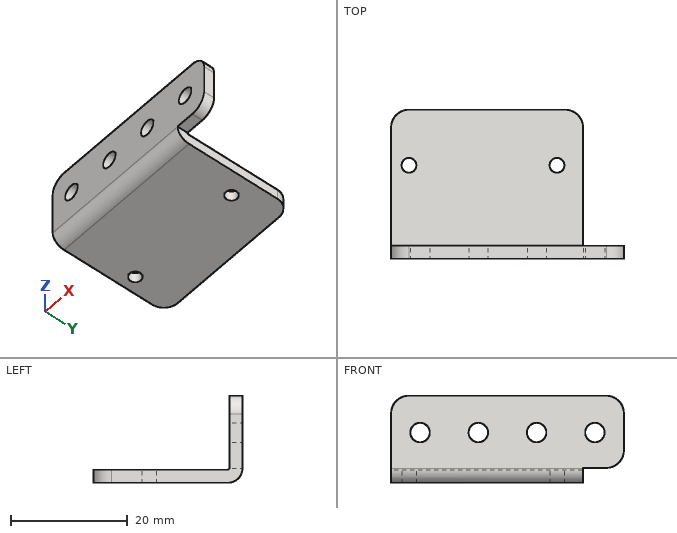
import cadquery as cq

thickness = 2.286
bend_inner_radius = 0.254
bend_outer_radius = thickness + bend_inner_radius
corner_radius = 3.1

flange_length = 40.01
base_length = 33.0
depth = 25.61
height = 14.99

flange_hole_diameter = 3.3
flange_hole_pitch = 10.0
flange_hole_count = 4
flange_hole_first_x = 5.0
flange_hole_from_top = 6.35

base_hole_diameter = 2.5
base_hole_pitch = 25.4
base_hole_count = 2
base_hole_first_x = 3.1
base_hole_y = 16.05


def make_bent_strip():
    """L-section as long as the base: underside on Z = 0, outer flange face on Y = 0."""
    return (
        cq.Workplane("YZ")
        .moveTo(0, height)
        .lineTo(0, bend_outer_radius)
        .radiusArc((bend_outer_radius, 0), -bend_outer_radius)
        .lineTo(depth, 0)
        .lineTo(depth, thickness)
        .lineTo(bend_outer_radius, thickness)
        .radiusArc((thickness, bend_outer_radius), bend_inner_radius)
        .lineTo(thickness, height)
        .close()
        .extrude(base_length)
    )


def make_flange_extension():
    """Part of the flange that reaches past the base; its lower edge is level with the top of the bend."""
    extension = cq.Workplane("XY").box(
        flange_length - base_length,
        thickness,
        height - bend_outer_radius,
        centered=False,
    )
    return extension.translate((base_length, 0, bend_outer_radius))


def round_corners(body):
    """Round the three free corners of the flange and the two free corners of the base."""
    lower_flange_corner = cq.selectors.NearestToPointSelector(
        (flange_length, thickness / 2, bend_outer_radius)
    )
    body = body.edges(lower_flange_corner).fillet(corner_radius)
    body = body.edges("|Y and >Z").fillet(corner_radius)
    return body.edges("|Z and >Y").fillet(corner_radius)


def row_along_x(first_x, pitch, count, across):
    """Centres of evenly spaced holes along X, all at the same distance across the plate."""
    return [(first_x + index * pitch, across) for index in range(count)]


def make_flange_hole_cutters():
    """Pins along Y through the flange."""
    centres = row_along_x(
        flange_hole_first_x, flange_hole_pitch, flange_hole_count, height - flange_hole_from_top
    )
    return (
        cq.Workplane("XZ")
        .pushPoints(centres)
        .circle(flange_hole_diameter / 2)
        .extrude(-thickness)
    )


def make_base_hole_cutters():
    """Pins along Z through the base."""
    centres = row_along_x(base_hole_first_x, base_hole_pitch, base_hole_count, base_hole_y)
    return (
        cq.Workplane("XY")
        .pushPoints(centres)
        .circle(base_hole_diameter / 2)
        .extrude(thickness)
    )


bracket = round_corners(make_bent_strip().union(make_flange_extension()))
result = bracket.cut(make_flange_hole_cutters()).cut(make_base_hole_cutters())